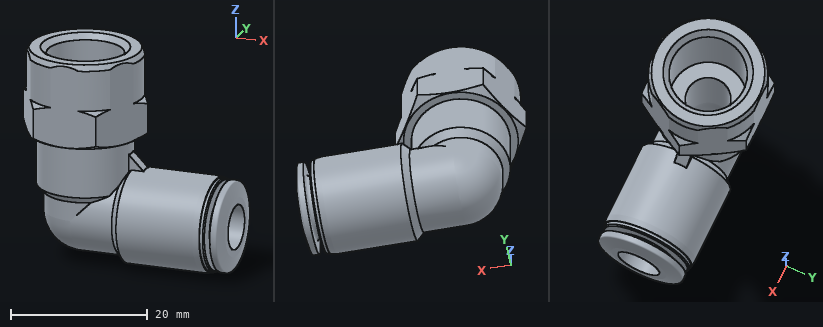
import cadquery as cq
import math


barrel_radius = 14.5 / 2
elbow_radius = 12.34 / 2
shoulder_length = 1.1
upper_barrel_start = 4.05
side_barrel_start = 7.6

nut_bottom = 12.0
nut_top = 25.0
across_flats = 17.0
corner_radius = across_flats / math.sqrt(3)
nut_bottom_radius = 8.4
nut_top_radius = 8.3
turned_radius = 17.56 / 2
turned_bottom = 18.0
nut_top_chamfer = 0.85
bevel_slope = math.tan(math.radians(30))

barrel_taper_start = 19.6
barrel_taper_end = 20.6
barrel_taper_depth = 0.15
insert_radius = 13.9 / 2
insert_end = 21.3
insert_chamfer = 0.2
neck_radius = 9.4 / 2
neck_fillet = 0.4
flange_radius = 13.8 / 2
flange_start = 22.2
flange_rim_end = 23.0
rim_rounding = 0.25
collar_end = 23.705
collar_face_tilt = math.radians(11.5)

gusset_width = 2.0
gusset_reach = 16.7

channel_radius = 6.7 / 2
socket_radius = 11.45 / 2
socket_mouth_radius = 13.2 / 2
socket_floor = nut_bottom


def revolve_about_z(profile):
    """Revolve an (r, z) outline about the vertical axis."""
    return profile.close().revolve(360, (0, 0, 0), (0, 1, 0))


def revolve_about_x(profile):
    """Revolve an (x, r) outline about the horizontal axis."""
    return profile.close().revolve(360, (0, 0, 0), (1, 0, 0))


def make_upper_barrel():
    return revolve_about_z(
        cq.Workplane("XZ")
        .lineTo(elbow_radius, 0)
        .lineTo(elbow_radius, upper_barrel_start - shoulder_length)
        .lineTo(barrel_radius, upper_barrel_start)
        .lineTo(barrel_radius, nut_bottom)
        .lineTo(0, nut_bottom)
    )


def make_side_barrel():
    return revolve_about_x(
        cq.Workplane("XY")
        .lineTo(0, elbow_radius)
        .lineTo(side_barrel_start - shoulder_length, elbow_radius)
        .lineTo(side_barrel_start, barrel_radius)
        .lineTo(barrel_taper_start, barrel_radius)
        .lineTo(barrel_taper_end, barrel_radius - barrel_taper_depth)
        .lineTo(barrel_taper_end, insert_radius)
        .lineTo(insert_end - insert_chamfer, insert_radius)
        .lineTo(insert_end, insert_radius - insert_chamfer)
        .lineTo(insert_end, 0)
    )


def make_release_collar():
    fillet_start = flange_start - neck_fillet
    fillet_offset = neck_fillet * math.sqrt(0.5)
    fillet_middle = (fillet_start + fillet_offset, neck_radius + neck_fillet - fillet_offset)

    def rim_point(angle):
        """Point on the rim rounding, with the angle measured from the X axis."""
        return (
            flange_rim_end + rim_rounding * math.cos(angle),
            flange_radius - rim_rounding + rim_rounding * math.sin(angle),
        )

    cone_start_x, cone_start_radius = rim_point(collar_face_tilt)
    collar_tip_radius = cone_start_radius - (collar_end - cone_start_x) / math.tan(collar_face_tilt)
    rim_middle = rim_point((collar_face_tilt + math.pi / 2) / 2)
    return revolve_about_x(
        cq.Workplane("XY")
        .moveTo(insert_end, 0)
        .lineTo(insert_end, neck_radius)
        .lineTo(fillet_start, neck_radius)
        .threePointArc(fillet_middle, (flange_start, neck_radius + neck_fillet))
        .lineTo(flange_start, flange_radius)
        .lineTo(flange_rim_end, flange_radius)
        .threePointArc(rim_middle, (cone_start_x, cone_start_radius))
        .lineTo(collar_end, collar_tip_radius)
        .lineTo(collar_end, 0)
    )


def make_nut():
    hexagon = (
        cq.Workplane("XY", origin=(0, 0, nut_bottom))
        .polygon(6, 2 * corner_radius)
        .extrude(nut_top - nut_bottom)
    )
    bottom_bevel = (corner_radius - nut_bottom_radius) * bevel_slope
    step_bevel = (corner_radius - turned_radius) * bevel_slope
    turned_envelope = revolve_about_z(
        cq.Workplane("XZ")
        .moveTo(0, nut_bottom)
        .lineTo(nut_bottom_radius, nut_bottom)
        .lineTo(corner_radius, nut_bottom + bottom_bevel)
        .lineTo(corner_radius, turned_bottom - step_bevel)
        .lineTo(turned_radius, turned_bottom)
        .lineTo(turned_radius, nut_top - nut_top_chamfer)
        .lineTo(nut_top_radius, nut_top)
        .lineTo(0, nut_top)
    )
    return hexagon.intersect(turned_envelope)


def make_gusset():
    return (
        cq.Workplane("XZ")
        .lineTo(gusset_reach - elbow_radius, elbow_radius)
        .lineTo(elbow_radius, gusset_reach - elbow_radius)
        .close()
        .extrude(gusset_width / 2, both=True)
    )


def make_flow_channel():
    vertical = cq.Workplane("XY").circle(channel_radius).extrude(socket_floor)
    horizontal = cq.Workplane("YZ").circle(channel_radius).extrude(collar_end)
    return cq.Workplane("XY").sphere(channel_radius).union(vertical).union(horizontal)


def make_socket():
    mouth_depth = socket_mouth_radius - socket_radius
    return revolve_about_z(
        cq.Workplane("XZ")
        .moveTo(0, socket_floor)
        .lineTo(socket_radius, socket_floor)
        .lineTo(socket_radius, nut_top - mouth_depth)
        .lineTo(socket_mouth_radius, nut_top)
        .lineTo(0, nut_top)
    )


elbow = cq.Workplane("XY").sphere(elbow_radius).union(make_upper_barrel()).union(make_side_barrel())
fitting = elbow.union(make_gusset()).union(make_nut()).union(make_release_collar())
result = fitting.cut(make_socket()).cut(make_flow_channel())